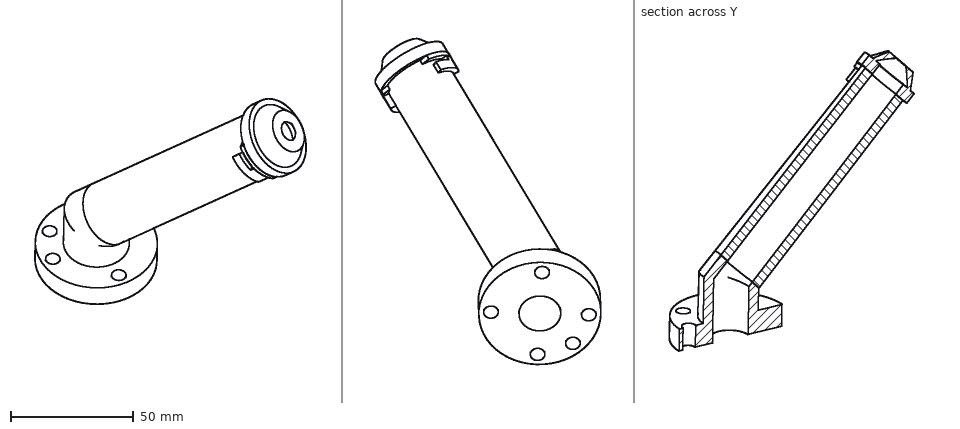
import cadquery as cq
import math

pipe_diameter = 27.0
bore_diameter = 17.0
pipe_wall = (pipe_diameter - bore_diameter) / 2

flange_diameter = 50.0
flange_height = 10.0
bolt_hole_diameter = 6.0
bolt_circle_radius = 20.0
bolt_angles = (45, 135, 180, 225, 315)

bend_angle = 45
miter_height = 25.1
elbow_arm_length = 6.0
tube_length = 96.8

cap_diameter = 32.0
ring_height = 5.0
cone_height = 6.4
cone_top_diameter = 17.9
cone_cavity_diameter = 22.3
nozzle_diameter = cone_top_diameter - 2 * pipe_wall

lug_width = 20.1
lug_height = 2.0
lug_radius = 16.1
hook_angle = 60
hook_depth = 8.0
hook_foot_height = 4.0

tilt_x = 0.5
tilt_y = 1.2
tilt_z = -1.3

bend = math.radians(bend_angle)
arm_direction = cq.Vector(math.sin(bend), 0, math.cos(bend))
arm_side = cq.Vector(math.cos(bend), 0, -math.sin(bend))
miter_point = cq.Vector(0, 0, miter_height)


def arm_plane(distance):
    """Plane across the arm at a distance from the bend point."""
    return cq.Plane(miter_point + arm_direction * distance, arm_side, arm_direction)


def mitred_rod(diameter):
    """Solid rod that rises from the ground, bends at a mitre and ends at the elbow arm's end."""
    miter_normal = cq.Vector(math.sin(bend / 2), 0, math.cos(bend / 2))
    miter_plane = cq.Plane(miter_point, cq.Vector(0, 1, 0), miter_normal)
    reach = 2 * diameter
    above_miter = cq.Workplane(miter_plane).rect(2 * reach, 2 * reach).extrude(reach)
    upright = cq.Workplane().circle(diameter / 2).extrude(miter_height + diameter).cut(above_miter)
    arm = (
        cq.Workplane(arm_plane(-diameter))
        .circle(diameter / 2)
        .extrude(diameter + elbow_arm_length)
        .intersect(above_miter)
    )
    return upright.union(arm)


def make_elbow_base():
    flange = cq.Workplane().circle(flange_diameter / 2).extrude(flange_height)
    bolt_hole = (
        cq.Workplane()
        .center(bolt_circle_radius, 0)
        .circle(bolt_hole_diameter / 2)
        .extrude(flange_height)
    )
    for angle in bolt_angles:
        flange = flange.cut(bolt_hole.rotate((0, 0, 0), (0, 0, 1), angle))
    return flange.union(mitred_rod(pipe_diameter)).cut(mitred_rod(bore_diameter))


def make_tube():
    return (
        cq.Workplane(arm_plane(elbow_arm_length))
        .circle(pipe_diameter / 2)
        .circle(bore_diameter / 2)
        .extrude(tube_length)
    )


def sleeve(radius, depth_from, depth_to):
    """Sleeve around the tube between two depths below Z = 0."""
    return (
        cq.Workplane()
        .workplane(offset=-depth_to)
        .circle(radius)
        .circle(pipe_diameter / 2)
        .extrude(depth_to - depth_from)
    )


def hook_sector(angle_from, angle_to, depth_from, depth_to):
    """Sleeve piece with radial ends, at angles measured from -Y toward +X."""
    sector = (
        cq.Workplane("XZ")
        .rect(cap_diameter, 2 * depth_to, centered=(False, True))
        .revolve(angle_to - angle_from, (0, 0), (0, 1))
    )
    start_angle = angle_from - 90
    wedge = sector.rotate((0, 0, 0), (0, 0, 1), start_angle)
    return sleeve(cap_diameter / 2, depth_from, depth_to).intersect(wedge)


def make_bayonet():
    """Lug and L-shaped hook on the -Y side, below Z = 0; the hook's foot points toward -X."""
    lug_window = (
        cq.Workplane()
        .center(0, -cap_diameter / 2)
        .rect(lug_width, cap_diameter)
        .extrude(-lug_height)
    )
    lug = sleeve(lug_radius, 0, lug_height).intersect(lug_window)
    half_angle = hook_angle / 2
    neck = hook_sector(0, half_angle, 0, hook_depth)
    foot = hook_sector(-half_angle, half_angle, hook_depth - hook_foot_height, hook_depth)
    return lug.union(neck).union(foot)


def make_cap():
    """Cap that rests on the end of the tube, with its bayonet features around the tube."""
    profile = [
        (bore_diameter / 2, 0),
        (cap_diameter / 2, 0),
        (cap_diameter / 2, ring_height),
        (pipe_diameter / 2, ring_height),
        (cone_top_diameter / 2, ring_height + cone_height),
        (nozzle_diameter / 2, ring_height + cone_height),
        (cone_cavity_diameter / 2, ring_height),
        (bore_diameter / 2, ring_height),
    ]
    cap = cq.Workplane("XZ").polyline(profile).close().revolve(360, (0, 0), (0, 1))
    for side_angle in (0, 180):
        cap = cap.union(make_bayonet().rotate((0, 0, 0), (0, 0, 1), side_angle))
    seat_plane = arm_plane(elbow_arm_length + tube_length)
    return cq.Workplane(cap.val().moved(cq.Location(seat_plane)))


def place(body):
    """Give a body the tilt of the whole assembly."""
    origin = (0, 0, 0)
    return (
        body.rotate(origin, (1, 0, 0), tilt_x)
        .rotate(origin, (0, 1, 0), tilt_y)
        .rotate(origin, (0, 0, 1), tilt_z)
    )


elbow_base = place(make_elbow_base())
tube = place(make_tube())
cap = place(make_cap())

result = cq.Compound.makeCompound([elbow_base.val(), tube.val(), cap.val()])